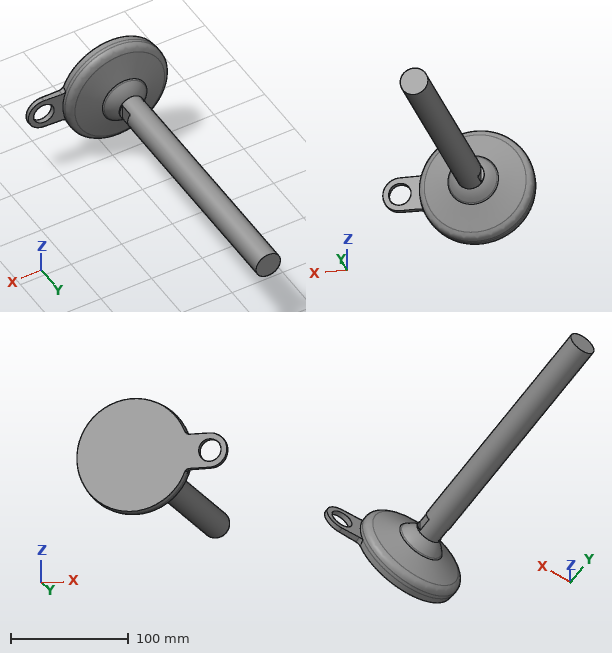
import cadquery as cq
import math

total_length = 265.0
total_width = 133.0

foot_diameter = 100.0
foot_radius = foot_diameter / 2
sole_radius = 49.3
rim_start = 5.8
rim_end = 9.0
shoulder_radius = 44.3
shoulder_height = 16.2
cone_top_radius = 22.0
cone_top_height = 24.5

dome_radius = 21.0
dome_base_height = 25.5
dome_top_height = 36.0

stem_diameter = 24.0
stem_radius = stem_diameter / 2
stem_start = 35.5
flat_start = 36.8
flat_end = 49.8
flat_half_width = 9.5

tab_reach = total_width - foot_radius
tab_width = 30.0
tab_half_width = tab_width / 2
tab_hole_radius = 9.8
tab_fillet = 5.3
tab_root_height = 5.8
tab_end_height = 4.0


def polar(radius, angle):
    return radius * math.cos(angle), radius * math.sin(angle)


def make_foot():
    """Revolve the disc, rounded shoulder, cone and dome about Y."""
    cone_slope = math.atan2(cone_top_height - shoulder_height, shoulder_radius - cone_top_radius)
    shoulder_tangent = (math.cos(cone_slope), -math.sin(cone_slope))
    dome_rise = dome_top_height - dome_base_height
    sphere_radius = (dome_radius**2 + dome_rise**2) / (2 * dome_rise)
    sphere_center = dome_top_height - sphere_radius
    half_angle = (math.asin((dome_base_height - sphere_center) / sphere_radius) + math.pi / 2) / 2
    mid_x, mid_y = polar(sphere_radius, half_angle)
    return (
        cq.Workplane("XY")
        .lineTo(sole_radius, 0)
        .lineTo(foot_radius, rim_start)
        .lineTo(foot_radius, rim_end)
        .spline(
            [(shoulder_radius, shoulder_height)],
            tangents=[(0, 1), (-shoulder_tangent[0], -shoulder_tangent[1])],
            includeCurrent=True,
        )
        .lineTo(cone_top_radius, cone_top_height)
        .lineTo(dome_radius, dome_base_height)
        .threePointArc((mid_x, sphere_center + mid_y), (0, dome_top_height))
        .close()
        .revolve(360, (0, 0), (0, 1))
    )


def make_stem():
    """Round bar with a flat milled on each X side near its lower end."""
    stem = (
        cq.Workplane("XZ", origin=(0, stem_start, 0))
        .circle(stem_radius)
        .extrude(stem_start - total_length)
    )
    flat_depth = stem_radius - flat_half_width
    for side in (-1, 1):
        cutter = cq.Workplane("XY").box(flat_depth, flat_end - flat_start, 2 * stem_radius)
        cutter = cutter.translate(
            (side * (flat_half_width + flat_depth / 2), (flat_start + flat_end) / 2, 0)
        )
        stem = stem.cut(cutter)
    return stem


def make_tab():
    """Round-ended tab, filleted into the sole and thinning towards its end."""
    eye_x = tab_reach - tab_half_width
    fillet_z = tab_half_width + tab_fillet
    fillet_x = math.sqrt((sole_radius + tab_fillet) ** 2 - fillet_z**2)
    fillet_angle = math.atan2(fillet_z, fillet_x)
    root_x, root_z = polar(sole_radius, fillet_angle)
    mid_angle = (fillet_angle + math.pi + 1.5 * math.pi) / 2
    bend_x, bend_z = polar(tab_fillet, mid_angle)
    middle = (fillet_x + bend_x, fillet_z + bend_z)
    outline = (
        cq.Workplane("XZ")
        .lineTo(root_x, root_z)
        .threePointArc(middle, (fillet_x, tab_half_width))
        .lineTo(eye_x, tab_half_width)
        .threePointArc((tab_reach, 0), (eye_x, -tab_half_width))
        .lineTo(fillet_x, -tab_half_width)
        .threePointArc((middle[0], -middle[1]), (root_x, -root_z))
        .close()
        .extrude(-tab_root_height)
    )
    side_profile = (
        cq.Workplane("XY")
        .lineTo(tab_reach, 0)
        .lineTo(tab_reach, tab_end_height)
        .lineTo(root_x, tab_root_height)
        .lineTo(0, tab_root_height)
        .close()
        .extrude(foot_radius, both=True)
    )
    hole = (
        cq.Workplane("XZ")
        .center(eye_x, 0)
        .circle(tab_hole_radius)
        .extrude(-tab_root_height)
    )
    return outline.intersect(side_profile).cut(hole)


result = make_foot().union(make_stem()).union(make_tab())